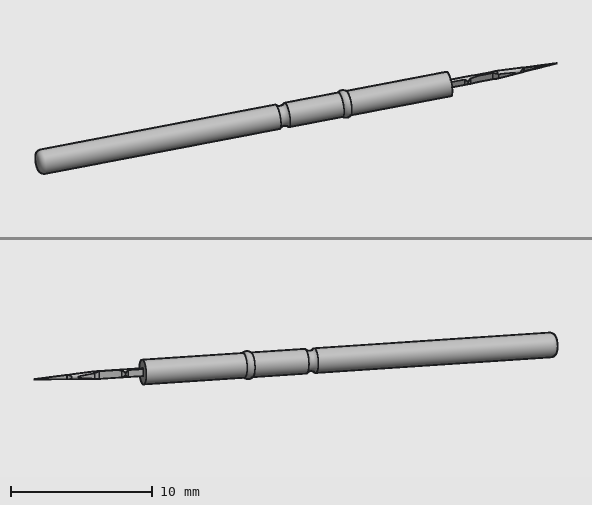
import cadquery as cq

total_length = 38.4
body_length = 30.4
body_radius = 0.9
rear_rounding = 0.42

collar_radius = 1.0
collar_center = 22.7
collar_length = 0.58

groove_center = 18.1
groove_length = 0.7
groove_depth = 0.15

needle_radius = 0.288
needle_tip_radius = 0.02
cone_start = 34.0
tip_half_thickness = 0.05
tip_flat_start = 36.0
bulge_front = 35.65
bulge_rear = 34.02
bulge_half_thickness = 0.21
neck_front = 33.65
neck_rear = 32.55
neck_half_thickness = 0.08
ridge_center = 31.75
ridge_half_length = 0.23
tang_half_thickness = 0.15
needle_overlap = 0.4


def make_body():
    body = cq.Workplane("XZ").circle(body_radius).extrude(-body_length)
    return body.faces("<Y").edges().fillet(rear_rounding)


def make_collar():
    half_length = collar_length / 2
    return (
        cq.Workplane("XY")
        .moveTo(0, collar_center - half_length)
        .lineTo(body_radius, collar_center - half_length)
        .threePointArc(
            (collar_radius, collar_center),
            (body_radius, collar_center + half_length),
        )
        .lineTo(0, collar_center + half_length)
        .close()
        .revolve(360, (0, 0, 0), (0, 1, 0))
    )


def make_groove():
    outside = collar_radius
    half_length = groove_length / 2
    return (
        cq.Workplane("XY")
        .moveTo(outside, groove_center - half_length)
        .lineTo(body_radius, groove_center - half_length)
        .threePointArc(
            (body_radius - groove_depth, groove_center),
            (body_radius, groove_center + half_length),
        )
        .lineTo(outside, groove_center + half_length)
        .close()
        .revolve(360, (0, 0, 0), (0, 1, 0))
    )


def make_needle():
    root = body_length - needle_overlap
    stem = (
        cq.Workplane("XY")
        .moveTo(0, root)
        .lineTo(needle_radius, root)
        .lineTo(needle_radius, cone_start)
        .lineTo(needle_tip_radius, total_length)
        .lineTo(0, total_length)
        .close()
        .revolve(360, (0, 0, 0), (0, 1, 0))
    )
    right_side = [
        (tang_half_thickness, root),
        (tang_half_thickness, ridge_center - ridge_half_length),
        (needle_radius, ridge_center),
        (tang_half_thickness, ridge_center + ridge_half_length),
        (neck_half_thickness, neck_rear),
        (neck_half_thickness, neck_front),
        (bulge_half_thickness, bulge_rear),
        (bulge_half_thickness, bulge_front),
        (tip_half_thickness, tip_flat_start),
        (tip_half_thickness, total_length),
    ]
    left_side = [(-x, y) for x, y in reversed(right_side)]
    flattening = (
        cq.Workplane("XY").polyline(right_side + left_side).close().extrude(needle_radius * 2, both=True)
    )
    return stem.intersect(flattening)


result = make_body().union(make_collar()).cut(make_groove()).union(make_needle())